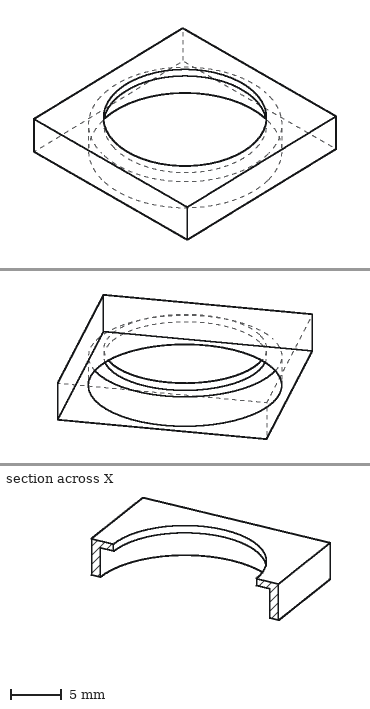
import cadquery as cq

side = 21.0
thickness = 4.0

opening_diameter = 16.0
bore_diameter = 19.0
lip_thickness = 0.8
bore_depth = thickness - lip_thickness

plate = cq.Workplane("XY").box(side, side, thickness, centered=(True, True, False))
opening = cq.Workplane("XY").circle(opening_diameter / 2).extrude(thickness)
bore = cq.Workplane("XY").circle(bore_diameter / 2).extrude(bore_depth)

result = plate.cut(opening).cut(bore)